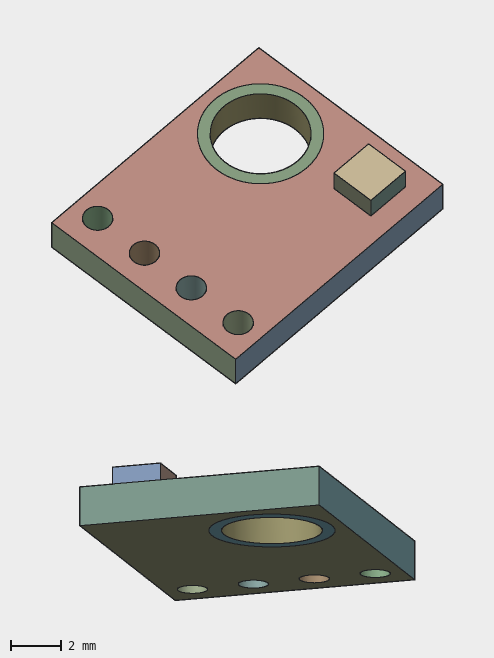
import cadquery as cq

board_width = 10.0
board_length = 12.0
board_thickness = 1.6
overall_height = 2.6

ring_outer_diameter = 5.0
ring_bore_diameter = 4.0
ring_x = 3.0
ring_y = board_length - 3.1

pin_hole_diameter = 1.2
pin_hole_count = 4
pin_hole_pitch = 2.55
pin_row_y = 1.4

chip_side = 2.0
chip_height = overall_height - board_thickness
chip_right_margin = 1.0
chip_back_margin = 1.1
chip_x = board_width - chip_right_margin - chip_side
chip_y = board_length - chip_back_margin - chip_side


def make_board():
    """Plate with a seat for the ring and a row of through holes."""
    plate = cq.Workplane("XY").box(board_width, board_length, board_thickness, centered=False)
    ring_seat = (
        cq.Workplane("XY")
        .center(ring_x, ring_y)
        .circle(ring_outer_diameter / 2)
        .extrude(board_thickness)
    )
    pin_holes = (
        cq.Workplane("XY")
        .center(board_width / 2, pin_row_y)
        .rarray(pin_hole_pitch, 0.12, pin_hole_count, 1)
        .circle(pin_hole_diameter / 2)
        .extrude(board_thickness)
    )
    return plate.cut(ring_seat).cut(pin_holes)


def make_ring():
    """Ring through the full thickness of the board."""
    return (
        cq.Workplane("XY")
        .center(ring_x, ring_y)
        .circle(ring_outer_diameter / 2)
        .circle(ring_bore_diameter / 2)
        .extrude(board_thickness)
    )


def make_chip():
    """Square block resting on the top face of the board."""
    block = cq.Workplane("XY").box(chip_side, chip_side, chip_height, centered=False)
    return block.translate((chip_x, chip_y, board_thickness))


board = make_board()
ring = make_ring()
chip = make_chip()

result = cq.Compound.makeCompound([board.solids().val(), ring.val(), chip.val()])